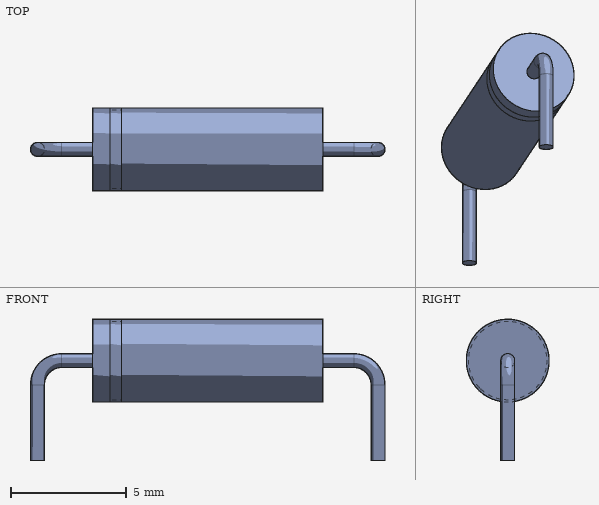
import cadquery as cq


body_length = 10.0
body_diameter = 3.61
axis_height = body_diameter / 2
body_start = -body_length / 2

band_offset = 0.75
band_width = 0.5
band_thickness = 0.1
band_inner_diameter = body_diameter - 2 * band_thickness

lead_diameter = 0.61
lead_pitch = 14.8
lead_bend_radius = 1.05
lead_depth = 2.54


def cylinder_along_x(start, length, diameter):
    """Cylinder on the body axis, running from X = start toward +X."""
    return (
        cq.Workplane("YZ", origin=(start, 0, axis_height))
        .circle(diameter / 2)
        .extrude(length)
    )


def make_band():
    """Thin ring set into the body near its -X end."""
    band_start = body_start + band_offset
    outer = cylinder_along_x(band_start, band_width, body_diameter)
    inner = cylinder_along_x(band_start, band_width, band_inner_diameter)
    return outer.cut(inner)


def make_body(band):
    """Plain cylinder with a groove that holds the band."""
    return cylinder_along_x(body_start, body_length, body_diameter).cut(band)


def make_lead(side):
    """Round wire from an end face, out and down; side is -1 or +1 along X."""
    face_x = side * body_length / 2
    leg_x = side * lead_pitch / 2
    bend_start_x = leg_x - side * lead_bend_radius
    bend_end_z = axis_height - lead_bend_radius
    path = (
        cq.Workplane("XZ")
        .moveTo(face_x, axis_height)
        .lineTo(bend_start_x, axis_height)
        .tangentArcPoint((leg_x, bend_end_z), relative=False)
        .lineTo(leg_x, -lead_depth)
    )
    return (
        cq.Workplane("YZ", origin=(face_x, 0, axis_height))
        .circle(lead_diameter / 2)
        .sweep(path)
    )


band = make_band()
body = make_body(band)
leads = [make_lead(side) for side in (-1, 1)]

result = cq.Compound.makeCompound([body.val(), band.val(), *[lead.val() for lead in leads]])